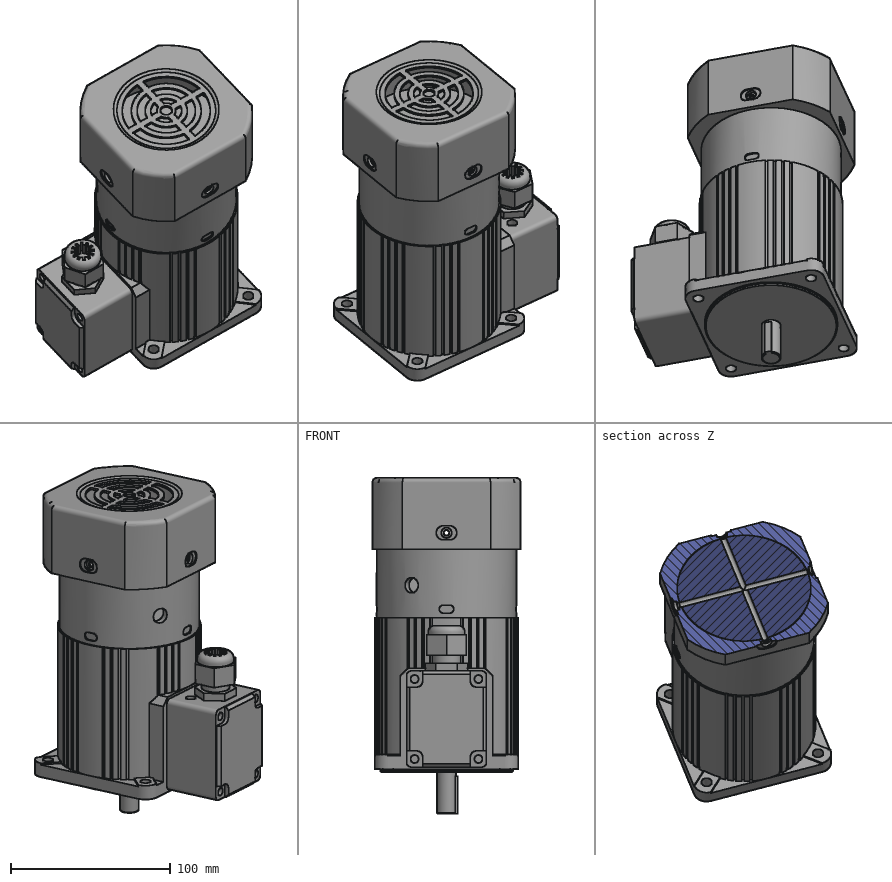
import cadquery as cq
import math


FLANGE_SIDE = 90.0
FLANGE_THICKNESS = 8.2
FLANGE_CORNER_RADIUS = 8.2
CORNER_PAD_HEIGHT = 9.3
MOUNT_HOLE_DIAMETER = 6.5
PILOT_DIAMETER = 83.5
PILOT_HEIGHT = 2.0
PILOT_CHAMFER = 0.8

STATOR_TOP = 95.2
GROOVE_WIDTH = 1.5
GROOVE_DEPTH = 1.3
GROOVE_FIRST_ANGLE = 12.5
GROOVE_PITCH = 6.6
GROOVES_PER_HALF_SIDE = 4

SHAFT_DIAMETER = 12.0
SHAFT_LENGTH = 28.0
SHAFT_CHAMFER = 0.6
KEY_WIDTH = 4.2
KEY_REACH = 7.2
KEY_TOP = -4.5

HOUSING_DIAMETER = 88.0
HOUSING_BORE_DIAMETER = 78.0
SPIGOT_DIAMETER = 84.5
SPIGOT_TOP = 154.0
CABLE_HOLE_DIAMETER = 9.5
CABLE_HOLE_Z = 115.5
CABLE_HOLE_ANGLE = 30
SLOT_LENGTH = 9.0
SLOT_HEIGHT = 5.0
SLOT_DEPTH = 1.0
SLOT_Z = 100.5

COVER_SIDE = 93.0
COVER_FLAT = 55.3
COVER_BOTTOM = 138.0
COVER_TOP = 183.0
COVER_FILLET = 3.0
COVER_ROOF = 2.1
GRILLE_OUTER_DIAMETER = 66.3
GRILLE_FLOOR_DIAMETER = 62.0
GRILLE_DEPTH = 0.8
GRILLE_HOLE_DIAMETER = 7.4
GRILLE_BAR_WIDTH = 4.5
GRILLE_RINGS = [(6.0, 9.7), (13.3, 18.4), (22.0, 27.6)]
SCREW_Z = 148.3
SCREW_POCKET_LENGTH = 12.9
SCREW_POCKET_HEIGHT = 8.9
SCREW_POCKET_DEPTH = 0.8
SCREW_BORE_DIAMETER = 6.5
SCREW_BORE_DEPTH = 2.1
SCREW_HOLE_DIAMETER = 3.4

BOX_SEAT_WIDTH = 58.2
BOX_SEAT_TOP = 63.3
BOX_SEAT_CHAMFER = 4.9
BOX_WIDTH = 50.2
BOX_BOTTOM = 1.3
BOX_TOP = 61.6
BOX_EDGE_RADIUS = 3.0
BOX_FRONT = 82.0
LID_THICKNESS = 2.7
LID_CHAMFER = 2.1
LID_NOTCH = 10.1
LID_NOTCH_RADIUS = 3.8
LID_SCREW_INSET = 5.0
LID_SCREW_DIAMETER = 5.0
LID_SCREW_DEPTH = 6.3
KNOCKOUT_DIAMETER = 6.3
KNOCKOUT_X = -13.3
KNOCKOUT_Y = -55.3
KNOCKOUT_DEPTH = 4.2

GLAND_Y = -65.0
GLAND_BASE_CORNERS = 26.4
GLAND_BASE_HEIGHT = 4.9
GLAND_NECK_DIAMETER = 17.7
GLAND_NECK_HEIGHT = 4.9
GLAND_NUT_CORNERS = 28.3
GLAND_NUT_HEIGHT = 12.9
GLAND_DOME_DIAMETER = 23.0
GLAND_DOME_TOP_DIAMETER = 15.6
GLAND_RIM_HEIGHT = 1.7
GLAND_DOME_HEIGHT = 4.2
GLAND_BORE_DIAMETER = 10.1
GLAND_BORE_DEPTH = 8.5
CLAW_SLOT_COUNT = 12
CLAW_SLOT_WIDTH = 1.3
CLAW_SLOT_DIAMETER = 14.3

HALF_FLANGE = FLANGE_SIDE / 2
MOUNT_HOLE_PITCH = FLANGE_SIDE - 2 * FLANGE_CORNER_RADIUS
BOX_HEIGHT = BOX_TOP - BOX_BOTTOM
BOX_MIDDLE_Z = (BOX_TOP + BOX_BOTTOM) / 2
CHAMBER_TOP = COVER_TOP - COVER_ROOF


def cylinder(diameter, bottom, top):
    return cq.Workplane("XY").workplane(offset=bottom).circle(diameter / 2).extrude(top - bottom)


def turned(shape, angle):
    return shape.rotate((0, 0, 0), (0, 0, 1), angle)


def front_plane(distance, z=0):
    """Workplane facing -Y, at a distance from the motor axis."""
    return cq.Workplane("XZ", origin=(0, -distance, z))


def mounting_flange():
    square = cq.Workplane("XY").rect(FLANGE_SIDE, FLANGE_SIDE)
    flange = square.extrude(CORNER_PAD_HEIGHT).edges("|Z").fillet(FLANGE_CORNER_RADIUS)

    band_width = FLANGE_CORNER_RADIUS * math.sqrt(2)
    bands = None
    for angle in (45, 135):
        band = cq.Workplane("XY").rect(2 * FLANGE_SIDE, band_width).extrude(CORNER_PAD_HEIGHT)
        band = turned(band, angle)
        bands = band if bands is None else bands.union(band)
    base = cq.Workplane("XY").rect(2 * FLANGE_SIDE, 2 * FLANGE_SIDE).extrude(FLANGE_THICKNESS)
    flange = flange.intersect(base.union(bands))

    holes = cq.Workplane("XY").rect(MOUNT_HOLE_PITCH, MOUNT_HOLE_PITCH, forConstruction=True).vertices()
    return flange.cut(holes.circle(MOUNT_HOLE_DIAMETER / 2).extrude(CORNER_PAD_HEIGHT))


def grooved_stator():
    stator = cylinder(FLANGE_SIDE, 0, STATOR_TOP)
    height = STATOR_TOP - FLANGE_THICKNESS
    groove = (
        cq.Workplane("XY", origin=(HALF_FLANGE, 0, FLANGE_THICKNESS))
        .rect(2 * GROOVE_DEPTH, GROOVE_WIDTH)
        .extrude(height)
    )
    for side_angle in (0, 90, 180, 270):
        for i in range(GROOVES_PER_HALF_SIDE):
            offset = GROOVE_FIRST_ANGLE + i * GROOVE_PITCH
            stator = stator.cut(turned(groove, side_angle + offset))
            stator = stator.cut(turned(groove, side_angle - offset))
    return stator


def box_seat():
    seat = (
        cq.Workplane("XY", origin=(0, -HALF_FLANGE / 2, 0))
        .rect(BOX_SEAT_WIDTH, HALF_FLANGE)
        .extrude(BOX_SEAT_TOP)
    )
    return seat.edges("|Y and >Z").chamfer(BOX_SEAT_CHAMFER)


def make_motor_body():
    pilot = cylinder(PILOT_DIAMETER, -PILOT_HEIGHT, 0).faces("<Z").chamfer(PILOT_CHAMFER)
    body = mounting_flange().union(grooved_stator()).union(box_seat()).union(pilot)
    return body.cut(cylinder(SHAFT_DIAMETER, -PILOT_HEIGHT, FLANGE_THICKNESS))


def make_shaft():
    shaft = cylinder(SHAFT_DIAMETER, -SHAFT_LENGTH, FLANGE_THICKNESS).faces("<Z").chamfer(SHAFT_CHAMFER)
    key = (
        cq.Workplane("XY", origin=(KEY_REACH / 2, 0, -SHAFT_LENGTH))
        .rect(KEY_REACH, KEY_WIDTH)
        .extrude(SHAFT_LENGTH + KEY_TOP)
    )
    return shaft.union(key)


def cover_screw_holes():
    """Two crossing holes, one along X and one along Y."""
    hole = front_plane(-COVER_SIDE, SCREW_Z).circle(SCREW_HOLE_DIAMETER / 2).extrude(2 * COVER_SIDE)
    return hole.union(turned(hole, 90))


def make_housing():
    drum = cylinder(HOUSING_DIAMETER, STATOR_TOP, COVER_BOTTOM)
    spigot = cylinder(SPIGOT_DIAMETER, COVER_BOTTOM, SPIGOT_TOP)
    housing = drum.union(spigot).cut(cylinder(HOUSING_BORE_DIAMETER, STATOR_TOP, COVER_BOTTOM))

    cable_hole = front_plane(0, CABLE_HOLE_Z).circle(CABLE_HOLE_DIAMETER / 2).extrude(HOUSING_DIAMETER)
    housing = housing.cut(turned(cable_hole, -CABLE_HOLE_ANGLE))

    slot_floor = HOUSING_DIAMETER / 2 - SLOT_DEPTH
    slot = front_plane(slot_floor, SLOT_Z).slot2D(SLOT_LENGTH, SLOT_HEIGHT).extrude(HOUSING_DIAMETER)
    for angle in (-90, 0, 90):
        housing = housing.cut(turned(slot, angle))
    return housing.cut(cover_screw_holes())


def cover_block():
    """Square block whose corners are turned to a circle about the motor axis."""
    corner_diameter = math.hypot(COVER_SIDE, COVER_FLAT)
    block = (
        cq.Workplane("XY")
        .workplane(offset=COVER_BOTTOM)
        .rect(COVER_SIDE, COVER_SIDE)
        .extrude(COVER_TOP - COVER_BOTTOM)
    )
    block = block.intersect(cylinder(corner_diameter, COVER_BOTTOM, COVER_TOP))
    return block.faces(">Z").edges().fillet(COVER_FILLET)


def grille_recess():
    """Shallow dish with a sloped rim."""
    return (
        cq.Workplane("XZ")
        .moveTo(0, COVER_TOP)
        .lineTo(GRILLE_OUTER_DIAMETER / 2, COVER_TOP)
        .lineTo(GRILLE_FLOOR_DIAMETER / 2, COVER_TOP - GRILLE_DEPTH)
        .lineTo(0, COVER_TOP - GRILLE_DEPTH)
        .close()
        .revolve(360, (0, 0, 0), (0, 1, 0))
    )


def grille_openings():
    rings = cylinder(GRILLE_HOLE_DIAMETER, CHAMBER_TOP, COVER_TOP)
    bar = (
        cq.Workplane("XY")
        .workplane(offset=CHAMBER_TOP)
        .rect(COVER_SIDE, GRILLE_BAR_WIDTH)
        .extrude(COVER_ROOF)
    )
    bars = bar.union(turned(bar, 90))
    for inner_radius, outer_radius in GRILLE_RINGS:
        ring = cylinder(2 * outer_radius, CHAMBER_TOP, COVER_TOP)
        ring = ring.cut(cylinder(2 * inner_radius, CHAMBER_TOP, COVER_TOP))
        rings = rings.union(ring.cut(bars))
    return rings


def screw_seat():
    """Long pocket and round counterbore in the -Y side of the cover."""
    pocket_floor = COVER_SIDE / 2 - SCREW_POCKET_DEPTH
    bore_floor = pocket_floor - SCREW_BORE_DEPTH
    pocket = (
        front_plane(pocket_floor, SCREW_Z)
        .slot2D(SCREW_POCKET_LENGTH, SCREW_POCKET_HEIGHT)
        .extrude(SCREW_POCKET_DEPTH)
    )
    bore = front_plane(bore_floor, SCREW_Z).circle(SCREW_BORE_DIAMETER / 2).extrude(SCREW_BORE_DEPTH)
    return pocket.union(bore)


def make_cover():
    cover = cover_block().cut(cylinder(SPIGOT_DIAMETER, COVER_BOTTOM, CHAMBER_TOP))
    cover = cover.cut(grille_recess()).cut(grille_openings())
    for angle in (0, 90, 180, 270):
        cover = cover.cut(turned(screw_seat(), angle))
    return cover.cut(cover_screw_holes())


def box_block(back, thickness):
    block = front_plane(back, BOX_MIDDLE_Z).rect(BOX_WIDTH, BOX_HEIGHT).extrude(thickness)
    return block.edges("|Y").fillet(BOX_EDGE_RADIUS)


def make_terminal_box():
    box = box_block(HALF_FLANGE, BOX_FRONT - HALF_FLANGE)
    screw_holes = (
        front_plane(BOX_FRONT - LID_SCREW_DEPTH, BOX_MIDDLE_Z)
        .rect(BOX_WIDTH - 2 * LID_SCREW_INSET, BOX_HEIGHT - 2 * LID_SCREW_INSET, forConstruction=True)
        .vertices()
        .circle(LID_SCREW_DIAMETER / 2)
        .extrude(LID_SCREW_DEPTH)
    )
    knockout = cylinder(KNOCKOUT_DIAMETER, BOX_TOP - KNOCKOUT_DEPTH, BOX_TOP)
    return box.cut(screw_holes).cut(knockout.translate((KNOCKOUT_X, KNOCKOUT_Y, 0)))


def make_lid():
    lid = box_block(BOX_FRONT, LID_THICKNESS).faces("<Y").chamfer(LID_CHAMFER)
    notches = (
        front_plane(BOX_FRONT, BOX_MIDDLE_Z)
        .rect(BOX_WIDTH, BOX_HEIGHT, forConstruction=True)
        .vertices()
        .rect(2 * LID_NOTCH, 2 * LID_NOTCH)
        .extrude(LID_THICKNESS)
        .edges("|Y")
        .fillet(LID_NOTCH_RADIUS)
    )
    return lid.cut(notches)


def make_gland():
    base_top = BOX_TOP + GLAND_BASE_HEIGHT
    nut_bottom = base_top + GLAND_NECK_HEIGHT
    nut_top = nut_bottom + GLAND_NUT_HEIGHT
    rim_top = nut_top + GLAND_RIM_HEIGHT
    dome_top = rim_top + GLAND_DOME_HEIGHT
    rim_radius = GLAND_DOME_DIAMETER / 2
    crown_radius = GLAND_DOME_TOP_DIAMETER / 2

    base = cq.Workplane("XY").workplane(offset=BOX_TOP).polygon(6, GLAND_BASE_CORNERS)
    base = base.extrude(GLAND_BASE_HEIGHT)
    neck = cylinder(GLAND_NECK_DIAMETER, base_top, nut_bottom)
    nut = cq.Workplane("XY").workplane(offset=nut_bottom).polygon(6, GLAND_NUT_CORNERS)
    nut = turned(nut.extrude(GLAND_NUT_HEIGHT), 30)

    bend = math.sqrt(0.5)
    bend_radius = crown_radius + bend * (rim_radius - crown_radius)
    bend_height = rim_top + bend * GLAND_DOME_HEIGHT
    dome = (
        cq.Workplane("XZ")
        .moveTo(0, nut_top)
        .lineTo(rim_radius, nut_top)
        .lineTo(rim_radius, rim_top)
        .threePointArc((bend_radius, bend_height), (crown_radius, dome_top))
        .lineTo(0, dome_top)
        .close()
        .revolve(360, (0, 0, 0), (0, 1, 0))
    )
    gland = base.union(neck).union(nut).union(dome)

    bore_floor = dome_top - GLAND_BORE_DEPTH
    gland = gland.cut(cylinder(GLAND_BORE_DIAMETER, bore_floor, dome_top))
    claw_slot = (
        cq.Workplane("XY", origin=(CLAW_SLOT_DIAMETER / 4, 0, bore_floor))
        .rect(CLAW_SLOT_DIAMETER / 2, CLAW_SLOT_WIDTH)
        .extrude(GLAND_BORE_DEPTH)
    )
    for i in range(CLAW_SLOT_COUNT):
        gland = gland.cut(turned(claw_slot, i * 360 / CLAW_SLOT_COUNT))
    return gland.translate((0, GLAND_Y, 0))


motor_body = make_motor_body()
shaft = make_shaft()
housing = make_housing()
cover = make_cover()
terminal_box = make_terminal_box()
lid = make_lid()
gland = make_gland()

result = cq.Compound.makeCompound(
    [
        motor_body.val(),
        shaft.val(),
        housing.val(),
        cover.val(),
        terminal_box.val(),
        lid.val(),
        gland.val(),
    ]
)